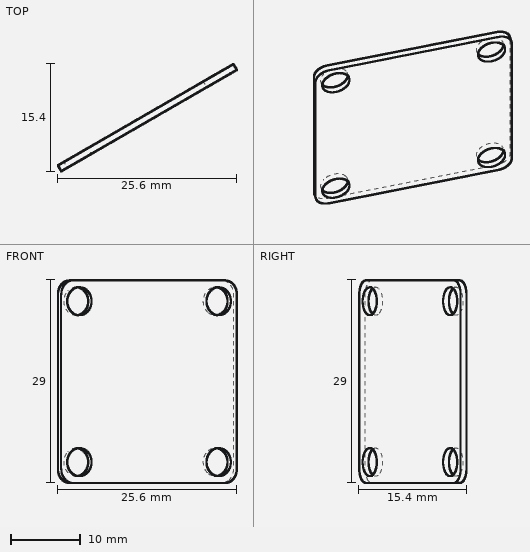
import cadquery as cq

plate_side = 29.0
plate_thickness = 1.0
corner_radius = 2.0
hole_spacing = 23.0
hole_diameter = 4.0
turn_about_z = 30.0

plate = (
    cq.Workplane("XZ")
    .rect(plate_side, plate_side)
    .extrude(plate_thickness / 2, both=True)
    .edges("|Y")
    .fillet(corner_radius)
)

plate = (
    plate.faces("<Y")
    .workplane(centerOption="CenterOfBoundBox")
    .rect(hole_spacing, hole_spacing, forConstruction=True)
    .vertices()
    .hole(hole_diameter)
)

result = plate.rotate((0, 0, 0), (0, 0, 1), turn_about_z)